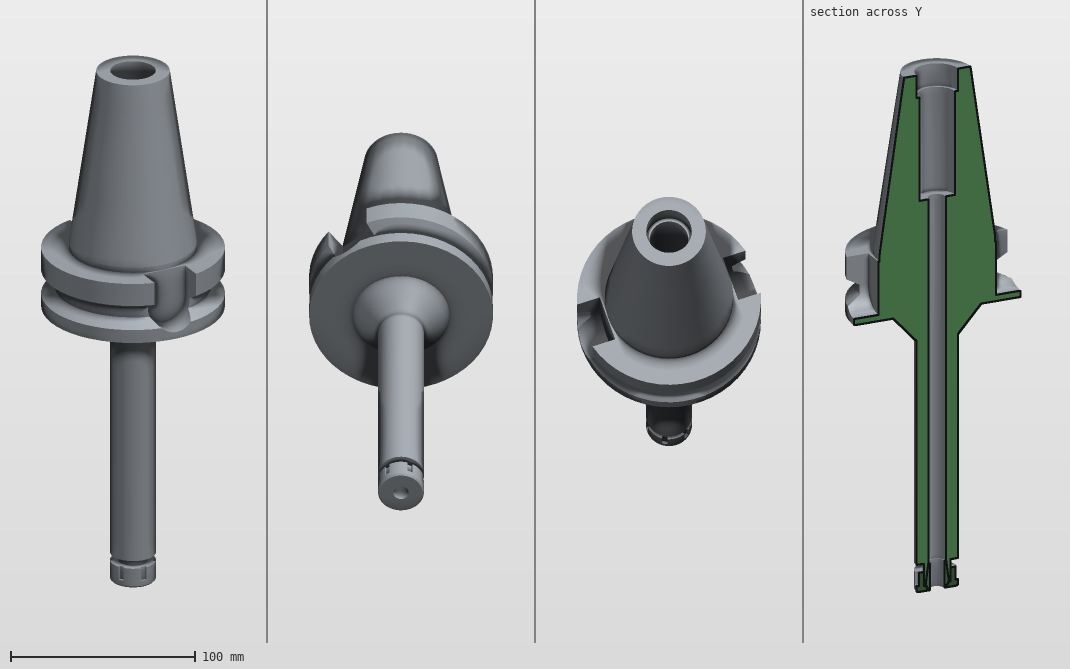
import cadquery as cq
import math

total_length = 301.8

gauge_diameter = 69.7
taper_length = 101.7
taper_ratio = 7 / 24
taper_top_diameter = gauge_diameter - taper_length * taper_ratio
collar_length = 3.0

flange_diameter = 100.0
flange_thickness = 35.0
groove_center_depth = 20.2
groove_floor_diameter = 85.0
groove_floor_width = 5.7
groove_wall_angle = 30
key_slot_width = 25.7
key_slot_depth = 31.0
key_floor_offset = 35.3

cone_top_diameter = 52.8
cone_height = 15.5
shank_diameter = 25.0
neck_diameter = 16.0
neck_gap = 4.5

nut_diameter = 25.0
nut_length = 11.5
nut_chamfer = 1.0
nut_slot_count = 6
nut_slot_width = 3.0
nut_slot_length = 7.5
nut_slot_depth = 1.5
thread_depth = 8.5

collet_diameter = 14.0
collet_rear_diameter = 10.3
collet_taper_angle = 8
collet_nose_angle = 30
collet_bore_diameter = 8.5

drawbar_bore_diameter = 24.7
drawbar_bore_depth = 13.0
thread_bore_diameter = 21.0
thread_bore_depth = 60.5
coolant_bore_diameter = 10.0

taper_top_z = taper_length
flange_top_z = -collar_length
flange_bottom_z = flange_top_z - flange_thickness
cone_bottom_z = flange_bottom_z - cone_height
nose_z = taper_top_z - total_length
nut_top_z = nose_z + nut_length
shank_bottom_z = nut_top_z + neck_gap
neck_bottom_z = nut_top_z - thread_depth

collet_seat_length = (collet_diameter - collet_rear_diameter) / 2 / math.tan(math.radians(collet_taper_angle))
collet_rear_z = neck_bottom_z + collet_seat_length
collet_nose_length = neck_bottom_z - nose_z
collet_front_diameter = collet_diameter - 2 * collet_nose_length * math.tan(math.radians(collet_nose_angle))


def turned(stations):
    """Solid of revolution about Z through (diameter, z) stations, closed along the axis."""
    profile = [(diameter / 2, z) for diameter, z in stations]
    start = (0, stations[0][1])
    end = (0, stations[-1][1])
    return cq.Workplane("XZ").polyline([start, *profile, end]).close().revolve(360, (0, 0), (0, 1))


def make_holder_blank():
    """Outer turned shape of the holder, from the taper top down to the neck end."""
    groove_z = flange_top_z - groove_center_depth
    floor_half_width = groove_floor_width / 2
    wall_depth = (flange_diameter - groove_floor_diameter) / 2
    mouth_half_width = floor_half_width + wall_depth * math.tan(math.radians(groove_wall_angle))
    return turned([
        (taper_top_diameter, taper_top_z),
        (gauge_diameter, 0),
        (gauge_diameter, flange_top_z),
        (flange_diameter, flange_top_z),
        (flange_diameter, groove_z + mouth_half_width),
        (groove_floor_diameter, groove_z + floor_half_width),
        (groove_floor_diameter, groove_z - floor_half_width),
        (flange_diameter, groove_z - mouth_half_width),
        (flange_diameter, flange_bottom_z),
        (cone_top_diameter, flange_bottom_z),
        (shank_diameter, cone_bottom_z),
        (shank_diameter, shank_bottom_z),
        (neck_diameter, shank_bottom_z),
        (neck_diameter, neck_bottom_z),
    ])


def make_key_slot(side):
    """Cutter for a round-ended key slot, open at the flange top; side is +1 or -1 along X."""
    half_width = key_slot_width / 2
    arc_center_z = flange_top_z - key_slot_depth + half_width
    return (
        cq.Workplane("YZ", origin=(side * key_floor_offset, 0, 0))
        .moveTo(-half_width, flange_top_z)
        .lineTo(-half_width, arc_center_z)
        .threePointArc((0, flange_top_z - key_slot_depth), (half_width, arc_center_z))
        .lineTo(half_width, flange_top_z)
        .close()
        .extrude(side * flange_diameter / 2)
    )


def make_holder_bore():
    """Cutter for the stepped bore and the collet seat at its lower end."""
    drawbar_floor_z = taper_top_z - drawbar_bore_depth
    thread_floor_z = drawbar_floor_z - thread_bore_depth
    return turned([
        (drawbar_bore_diameter, taper_top_z),
        (drawbar_bore_diameter, drawbar_floor_z),
        (thread_bore_diameter, drawbar_floor_z),
        (thread_bore_diameter, thread_floor_z),
        (coolant_bore_diameter, thread_floor_z),
        (coolant_bore_diameter, collet_rear_z),
        (collet_rear_diameter, collet_rear_z),
        (collet_diameter, neck_bottom_z),
    ])


def make_holder():
    """Tool holder: taper, grooved flange, cone, shank and neck with its bores."""
    holder = make_holder_blank().cut(make_holder_bore())
    for side in (1, -1):
        holder = holder.cut(make_key_slot(side))
    return holder


def make_collet_blank():
    """Double cone of the collet without its bore."""
    return turned([
        (collet_rear_diameter, collet_rear_z),
        (collet_diameter, neck_bottom_z),
        (collet_front_diameter, nose_z),
    ])


def make_collet():
    """Collet: double cone with a straight through bore."""
    bore = turned([
        (collet_bore_diameter, collet_rear_z),
        (collet_bore_diameter, nose_z),
    ])
    return make_collet_blank().cut(bore)


def make_nut_slot(angle):
    """Cutter for one spanner slot, open at the nut top and side."""
    slot_floor_radius = nut_diameter / 2 - nut_slot_depth
    return (
        cq.Workplane("XY")
        .box(nut_diameter, nut_slot_width, nut_slot_length, centered=(False, True, False))
        .translate((slot_floor_radius, 0, nut_top_z - nut_slot_length))
        .rotate((0, 0, 0), (0, 0, 1), angle)
    )


def make_nut():
    """Clamping nut: threaded over the neck, with a conical mouth around the collet nose."""
    nut = turned([
        (nut_diameter, nut_top_z),
        (nut_diameter, nose_z + nut_chamfer),
        (nut_diameter - 2 * nut_chamfer, nose_z),
    ])
    neck_bore = turned([
        (neck_diameter, nut_top_z),
        (neck_diameter, neck_bottom_z),
    ])
    nut = nut.cut(neck_bore).cut(make_collet_blank())
    for index in range(nut_slot_count):
        nut = nut.cut(make_nut_slot(index * 360 / nut_slot_count))
    return nut


holder = make_holder()
collet = make_collet()
nut = make_nut()

result = cq.Compound.makeCompound([holder.val(), collet.val(), nut.val()])